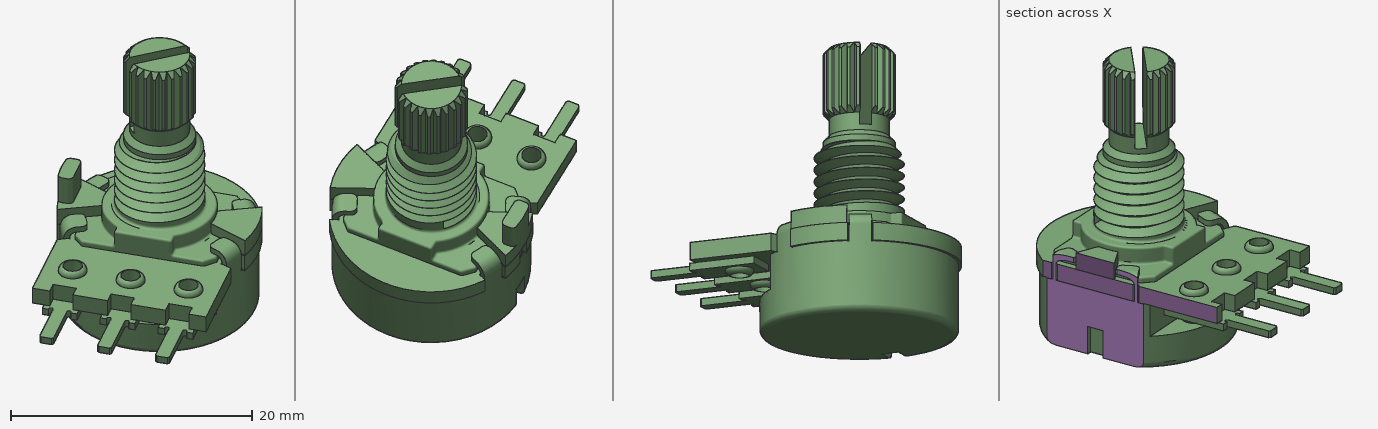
import cadquery as cq
import math

diagonal = math.sqrt(0.5)

tolerance = 0.0002

board_bottom_z = 6.0
board_thickness = 1.5
plate_thickness = 0.5
ear_height = 1.0
boss_height = 1.5
lug_height = 2.5
board_top_z = board_bottom_z + board_thickness
plate_top_z = board_top_z + plate_thickness
ear_top_z = plate_top_z + ear_height
boss_top_z = plate_top_z + boss_height
lug_top_z = ear_top_z + lug_height
bushing_top_z = 16.0
knurl_bottom_z = 18.5
shaft_top_z = 24.5

can_radius = 8.25
can_floor_fillet = 0.55
window_floor_z = 3.0
window_face_y = -5.2
can_notch_width = 1.5
can_notch_height = 2.5
can_notch_depth = 2.0

tab_angle = 25.0
tab_angles = [tab_angle, 180.0 - tab_angle, 180.0 + tab_angle, -tab_angle]
tab_width = 1.88
tab_thickness = 0.5
tab_bend_radius = 1.05
tab_tip_distance = 6.15
tab_tip_fillet = 0.5
slot_width = 2.1
slot_end_distance = 7.68

board_radius = 8.5
board_half_width = 7.5
board_front_y = -12.0
edge_notch_width = 2.0
edge_notch_depth = 1.0
peg_slot_width = 1.2

terminal_pitch = 5.0
terminal_positions = [-terminal_pitch, 0, terminal_pitch]
terminal_thickness = 0.62
terminal_back_y = -6.65
terminal_tip_y = -16.5
head_width = 3.0
head_front_y = -12.5
tail_width = 1.2
tail_chamfer = 0.15
relief_width = 0.35
relief_depth = 0.28

eyelet_y = -8.62
eyelet_bore_radius = 0.8
eyelet_rim_radius = 1.2
eyelet_rim_height = 0.5
eyelet_barrel_radius = 1.0

plate_half_depth = 5.0
plate_half_width = 6.12
plate_corner_cut = 0.88
plate_fillet = 0.2
boss_radius = 4.8
boss_arm_half_width = 2.5
ear_side_offset = 1.12
lug_half_width = 1.48
lug_inner_x = -7.12
lug_fillet = 0.42
peg_radius = 0.55
peg_x = -7.75
peg_bottom_z = 6.32

thread_radius = 3.75
thread_pitch = 1.0
thread_depth = 0.85
thread_crest = 0.02
thread_overrun = 0.12
thread_start_angle = 132.0
thread_start_z = 10.22
bushing_chamfer = 0.75
bushing_foot_fillet = 0.25

shaft_radius = 3.0
neck_radius = 2.5
shaft_chamfer = shaft_radius - neck_radius
collar_height = 0.5
spline_count = 24
spline_land = 0.22
screw_slot_width = 1.0
screw_slot_angle = 36.5
screw_slot_floor_z = 17.5


def cylinder(radius, bottom_z, top_z, x=0, y=0):
    """Upright cylinder between two levels."""
    return cq.Workplane("XY", origin=(x, y, bottom_z)).circle(radius).extrude(top_z - bottom_z)


def block(x_range, y_range, z_range):
    """Axis-aligned box between pairs of coordinates."""
    size = [high - low for low, high in (x_range, y_range, z_range)]
    corner = (x_range[0], y_range[0], z_range[0])
    return cq.Workplane("XY").box(*size, centered=False).translate(corner)


def turned(body, angle):
    """The body turned about the shaft axis."""
    return body.rotate((0, 0, 0), (0, 0, 1), angle)


def make_tab_ring():
    """Ring with the section of a folded tab: a wall, a bend and a flat flange on the plate."""
    top_z = plate_top_z + tab_thickness
    bend_z = top_z - tab_bend_radius
    bend_x = can_radius - tab_bend_radius
    inner_bend = tab_bend_radius - tab_thickness
    return (
        cq.Workplane("XZ")
        .moveTo(can_radius, board_bottom_z)
        .lineTo(can_radius, bend_z)
        .threePointArc(
            (bend_x + tab_bend_radius * diagonal, bend_z + tab_bend_radius * diagonal),
            (bend_x, top_z),
        )
        .lineTo(boss_radius, top_z)
        .lineTo(boss_radius, plate_top_z)
        .lineTo(bend_x, plate_top_z)
        .threePointArc(
            (bend_x + inner_bend * diagonal, bend_z + inner_bend * diagonal),
            (can_radius - tab_thickness, bend_z),
        )
        .lineTo(can_radius - tab_thickness, board_bottom_z)
        .close()
        .revolve(360, (0, 0, 0), (0, 1, 0))
    )


def make_tab(angle):
    """Parallel-sided piece of the tab ring with rounded corners at its tip."""
    strip = block(
        (tab_tip_distance, board_radius),
        (-tab_width / 2, tab_width / 2),
        (board_bottom_z, plate_top_z + tab_thickness),
    )
    strip = turned(strip.edges("|Z and <X").fillet(tab_tip_fillet), angle)
    return make_tab_ring().intersect(strip)


def make_can():
    """Round cup with an open front window, a notch in its foot and four folded tabs."""
    can = cylinder(can_radius, 0, board_bottom_z).faces("<Z").edges().fillet(can_floor_fillet)
    window = block(
        (-can_radius, can_radius), (-can_radius, window_face_y), (window_floor_z, board_bottom_z)
    )
    notch = block(
        (-can_radius, can_notch_depth - can_radius),
        (-can_notch_width / 2, can_notch_width / 2),
        (0, can_notch_height),
    )
    can = can.cut(window).cut(notch)
    for angle in tab_angles:
        can = can.union(make_tab(angle))
    return can


def make_board():
    """Disc with a straight front, cut for the tabs, the terminals and the peg."""
    board = cylinder(board_radius, board_bottom_z, board_top_z)
    tab_direction = math.radians(tab_angle)
    slot_edge_rise = slot_width / 2 / math.cos(tab_direction)
    shoulder_y = -(board_half_width * math.tan(tab_direction) + slot_edge_rise)
    levels = (board_bottom_z, board_top_z)
    board = board.cut(block((-board_radius, board_radius), (-board_radius, shoulder_y), levels))
    front = block((-board_half_width, board_half_width), (board_front_y, 0), levels)
    board = board.union(front)

    slot_outer_distance = 2 * board_radius
    for angle in tab_angles:
        slot = block(
            (slot_end_distance, slot_outer_distance), (-slot_width / 2, slot_width / 2), levels
        )
        board = board.cut(turned(slot, angle))

    for x in terminal_positions:
        edge_notch = block(
            (x - edge_notch_width / 2, x + edge_notch_width / 2),
            (board_front_y, board_front_y + edge_notch_depth),
            levels,
        )
        board = board.cut(edge_notch)
        board = board.cut(cylinder(eyelet_barrel_radius, *levels, x, eyelet_y))

    peg_slot = block(
        (-board_radius, peg_x), (-peg_slot_width / 2, peg_slot_width / 2), levels
    ).union(cylinder(peg_slot_width / 2, *levels, peg_x))
    return board.cut(peg_slot)


def make_eyelet():
    """Riveted tube with a rounded rim above the board and below the terminal."""
    blade_bottom_z = board_bottom_z - terminal_thickness
    crown_radius = eyelet_rim_radius - eyelet_rim_height
    crown_reach = eyelet_bore_radius - crown_radius
    trimmed_height = math.sqrt(eyelet_rim_height**2 - crown_reach**2)
    bulge_radius = crown_radius + eyelet_rim_height * diagonal
    bulge_height = eyelet_rim_height * diagonal
    eyelet = (
        cq.Workplane("XZ")
        .moveTo(eyelet_bore_radius, blade_bottom_z - trimmed_height)
        .threePointArc(
            (bulge_radius, blade_bottom_z - bulge_height),
            (eyelet_rim_radius, blade_bottom_z),
        )
        .lineTo(eyelet_barrel_radius, blade_bottom_z)
        .lineTo(eyelet_barrel_radius, board_top_z)
        .lineTo(eyelet_rim_radius, board_top_z)
        .threePointArc(
            (bulge_radius, board_top_z + bulge_height),
            (eyelet_bore_radius, board_top_z + trimmed_height),
        )
        .close()
        .revolve(360, (0, 0, 0), (0, 1, 0))
    )
    return eyelet.translate((0, eyelet_y, 0))


def make_terminal(x):
    """Flat blade under the board with a narrow tail and an eyelet through the board."""
    levels = (board_bottom_z - terminal_thickness, board_bottom_z)
    head = block((-head_width / 2, head_width / 2), (head_front_y, terminal_back_y), levels)
    relief_round = relief_width / 2
    for side in (-1, 1):
        relief_x = side * (tail_width + relief_width) / 2
        round_y = head_front_y + relief_depth - relief_round
        relief = block(
            (relief_x - relief_round, relief_x + relief_round), (head_front_y, round_y), levels
        ).union(cylinder(relief_round, *levels, relief_x, round_y))
        head = head.cut(relief)
    tail = (
        block((-tail_width / 2, tail_width / 2), (terminal_tip_y, terminal_back_y), levels)
        .edges("|Z and <Y")
        .chamfer(tail_chamfer)
    )
    bore = cylinder(eyelet_bore_radius, *levels, 0, eyelet_y)
    return head.union(tail).cut(bore).union(make_eyelet()).translate((x, 0, 0))


def edges_above(workplane, z):
    """The selected edges whose middle lies above a level."""
    return [edge for edge in workplane.edges().vals() if edge.Center().z > z + tolerance]


def make_boss(half_depth):
    """Round boss with two straight arms, its inside corners rounded."""
    arms = block(
        (-boss_arm_half_width, boss_arm_half_width), (-half_depth, half_depth), (plate_top_z, boss_top_z)
    )
    boss = cylinder(boss_radius, plate_top_z, boss_top_z).union(arms)
    inside_corners = cq.selectors.BoxSelector(
        (-boss_radius, -boss_radius, plate_top_z), (boss_radius, boss_radius, boss_top_z)
    )
    return boss.edges("|Z").edges(inside_corners).fillet(plate_fillet)


def make_plate():
    """Cut-cornered plate carrying a boss whose arms end flush with the long plate edges."""
    blank_half_depth = plate_half_depth + boss_arm_half_width
    blank = block(
        (-plate_half_width, plate_half_width),
        (-blank_half_depth, blank_half_depth),
        (board_top_z, plate_top_z),
    )
    boss = make_boss(blank_half_depth)
    foot_outline = boss.faces("<Z").edges().edges("not(<Y or >Y)").vals()
    foot_centers = [edge.Center() for edge in foot_outline]
    plate = blank.union(boss)
    foot_edges = [
        edge
        for edge in plate.edges().vals()
        if any((edge.Center() - center).Length < tolerance for center in foot_centers)
    ]
    plate = plate.newObject(foot_edges).fillet(plate_fillet)

    outline = (
        block(
            (-plate_half_width, plate_half_width),
            (-plate_half_depth, plate_half_depth),
            (board_top_z, boss_top_z),
        )
        .edges("|Z")
        .chamfer(plate_corner_cut)
        .edges("|Z")
        .fillet(plate_fillet)
    )
    plate = plate.intersect(outline)

    rim_edges = edges_above(plate.faces(">Y or <Y"), board_top_z)
    boss_top_edges = plate.faces(">Z").edges().vals()
    return plate.newObject(rim_edges + boss_top_edges).fillet(plate_fillet)


def make_ear(angle):
    """Wedge over the board between two tab slots, ending on the rim of the board."""
    tab_direction = math.radians(tab_angle)
    apex_x = ear_side_offset / math.sin(tab_direction)
    outer_y = (board_radius - apex_x) * math.tan(tab_direction)
    wedge = (
        cq.Workplane("XY", origin=(0, 0, board_top_z))
        .polyline([(apex_x, 0), (board_radius, -outer_y), (board_radius, outer_y)])
        .close()
        .extrude(ear_top_z - board_top_z)
    )
    ear = wedge.intersect(cylinder(board_radius, board_top_z, ear_top_z))
    return turned(ear, angle)


def make_lug():
    """Locating lug on one ear, with a round peg below it that enters the board."""
    levels = (board_top_z, lug_top_z)
    lug = block((-board_radius, lug_inner_x), (-lug_half_width, lug_half_width), levels)
    lug = lug.intersect(cylinder(board_radius, *levels)).edges("|Z").fillet(lug_fillet)
    return lug.union(cylinder(peg_radius, peg_bottom_z, board_top_z, peg_x))


def make_thread_groove():
    """Right-handed V groove that starts just above the foot and runs out at the top."""
    height = bushing_top_z + thread_pitch - thread_start_z
    half_opening = (thread_pitch - thread_crest) / 2
    helix = cq.Wire.makeHelix(thread_pitch, height, thread_radius)
    profile = (
        cq.Workplane("XZ")
        .moveTo(thread_radius - thread_depth, 0)
        .lineTo(thread_radius, half_opening)
        .lineTo(thread_radius + thread_overrun, half_opening)
        .lineTo(thread_radius + thread_overrun, -half_opening)
        .lineTo(thread_radius, -half_opening)
        .close()
    )
    groove = profile.sweep(cq.Workplane(obj=helix), isFrenet=True)
    return turned(groove, thread_start_angle).translate((0, 0, thread_start_z))


def make_bushing():
    """Threaded barrel with a chamfered top, standing on a flared foot."""
    foot_radius = thread_radius + bushing_foot_fillet
    foot_z = boss_top_z + bushing_foot_fillet
    arc_offset = bushing_foot_fillet * (1 - diagonal)
    foot = (
        cq.Workplane("XZ")
        .moveTo(0, boss_top_z)
        .lineTo(foot_radius, boss_top_z)
        .threePointArc((thread_radius + arc_offset, boss_top_z + arc_offset), (thread_radius, foot_z))
        .lineTo(0, foot_z)
        .close()
        .revolve(360, (0, 0, 0), (0, 1, 0))
    )
    barrel = cylinder(thread_radius, boss_top_z, bushing_top_z)
    barrel = barrel.cut(make_thread_groove(), tol=tolerance)
    chamfered_outline = (
        cylinder(thread_radius, boss_top_z, bushing_top_z).faces(">Z").edges().chamfer(bushing_chamfer)
    )
    return barrel.intersect(chamfered_outline).union(foot)


def make_shaft():
    """Collar, neck and splined end with a screwdriver slot."""
    collar_top_z = bushing_top_z + collar_height + shaft_chamfer
    collar = cylinder(shaft_radius, bushing_top_z, collar_top_z)
    collar = collar.faces(">Z").edges().chamfer(shaft_chamfer)
    neck = cylinder(neck_radius, collar_top_z, knurl_bottom_z)
    knurl = cylinder(shaft_radius, knurl_bottom_z, shaft_top_z)
    knurl = knurl.faces("|Z").edges().chamfer(shaft_chamfer)

    spacing = 2 * math.pi / spline_count
    half_groove = spacing / 2 - spline_land / 2 / shaft_radius
    mouth_x = shaft_radius * math.cos(half_groove)
    mouth_y = shaft_radius * math.sin(half_groove)
    extension = 1.5
    outer_x = neck_radius + (mouth_x - neck_radius) * extension
    groove = (
        cq.Workplane("XY", origin=(0, 0, knurl_bottom_z))
        .polyline([(neck_radius, 0), (outer_x, mouth_y * extension), (outer_x, -mouth_y * extension)])
        .close()
        .extrude(shaft_top_z - knurl_bottom_z)
    )
    for index in range(spline_count):
        knurl = knurl.cut(turned(groove, index * 360 / spline_count))

    screw_slot = block(
        (-shaft_radius, shaft_radius),
        (-screw_slot_width / 2, screw_slot_width / 2),
        (screw_slot_floor_z, shaft_top_z),
    )
    return collar.union(neck).union(knurl).cut(turned(screw_slot, screw_slot_angle))


def make_core():
    """Mounting plate, ears, lug, bushing and shaft as one solid."""
    core = make_plate().union(make_ear(0)).union(make_ear(180)).union(make_lug())
    return core.union(make_bushing()).union(make_shaft())


can = make_can()
board = make_board()
core = make_core()
terminals = [make_terminal(x) for x in terminal_positions]
result = cq.Compound.makeCompound(
    [can.val(), board.val(), core.val(), *[terminal.val() for terminal in terminals]]
)